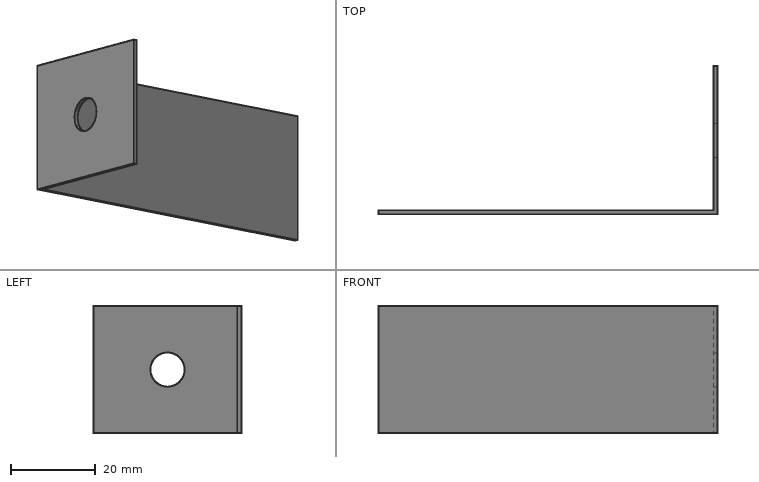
import cadquery as cq

long_leg = 80.0
short_leg = 35.0
height = 30.0
thickness = 1.0
hole_diameter = 8.0

hole_y = short_leg / 2
hole_z = height / 2


def angle_strip():
    """L-shaped strip: long leg along X, short leg along Y at the +X end."""
    long_plate = cq.Workplane("XY").box(long_leg, thickness, height, centered=False)
    short_plate = (
        cq.Workplane("XY")
        .box(thickness, short_leg, height, centered=False)
        .translate((long_leg - thickness, 0, 0))
    )
    return long_plate.union(short_plate)


def mounting_hole():
    """Cylinder that passes through the short leg along X."""
    return (
        cq.Workplane("YZ", origin=(long_leg - thickness, hole_y, hole_z))
        .circle(hole_diameter / 2)
        .extrude(thickness)
    )


result = angle_strip().cut(mounting_hole())